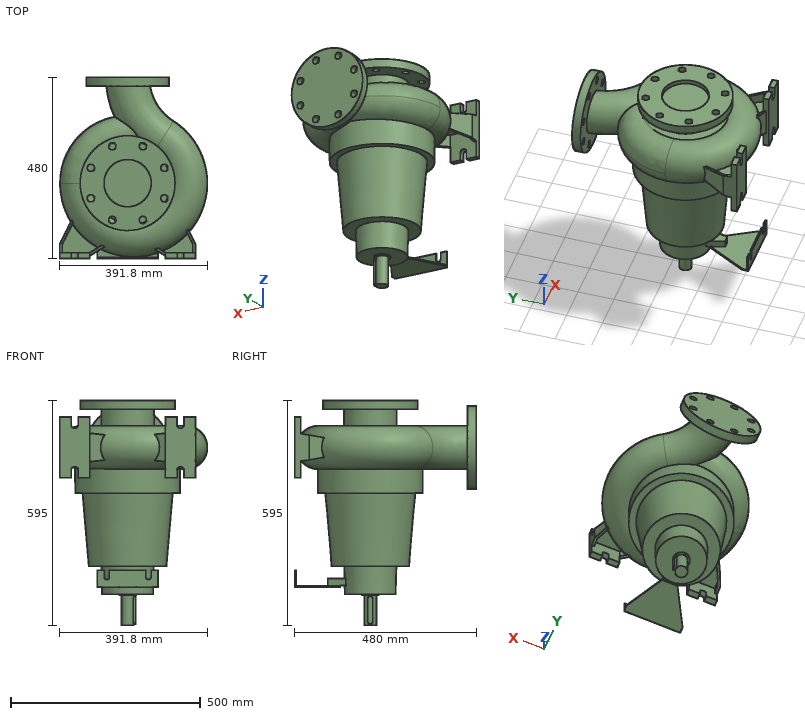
import cadquery as cq
import math


SUCTION_FACE_Z = 124.5
SHAFT_END_Z = SUCTION_FACE_Z - 595.0
DISCHARGE_FACE_Y = 280.0
MOUNTING_Y = -200.0

TUBE_RADIUS = 58.0
VOLUTE_RADIUS = 137.5
VOLUTE_OFFSET = 16.0
TONGUE_ANGLE = 110.0
TONGUE_END_RADIUS = 44.5
TONGUE_SECTIONS = 6

FLANGE_THICKNESS = 24.0
SUCTION_FLANGE_RADIUS = 125.5
SUCTION_BOLT_RADIUS = 105.5
DISCHARGE_FLANGE_RADIUS = 110.0
DISCHARGE_BOLT_RADIUS = 90.0
BOLT_COUNT = 8
BOLT_HOLE_RADIUS = 9.5
NECK_RADIUS = 70.0
BORE_RADIUS = 62.5
BORE_DEPTH = 12.0

CASING_RADIUS = 139.0
COVER_RADIUS = 112.5
COVER_TOP_Z = 50.5
CASING_BOTTOM_Z = -121.0
CONE_TOP_RADIUS = 119.5
CONE_BOTTOM_RADIUS = 103.0
CONE_BOTTOM_Z = -315.0
BEARING_TOP_RADIUS = 69.5
BEARING_BOTTOM_RADIUS = 68.0
BEARING_BOTTOM_Z = -388.5
COLLAR_RADIUS = 22.5
COLLAR_HEIGHT = 2.5
SHAFT_RADIUS = 16.5
KEY_TOP_Z = -393.0
KEY_BOTTOM_Z = -467.0
KEY_WIDTH = 13.0
KEY_REACH = 22.0

FOOT_CENTER_X = 140.0
FOOT_WIDTH = 80.5
FOOT_HEIGHT = 161.0
FOOT_THICKNESS = 16.0
FOOT_SLOT_WIDTH = 18.0
FOOT_SLOT_DEPTH = 30.0
RIB_THICKNESS = 7.0
OUTER_RIB_STRAIGHT = 22.0
OUTER_RIB_SLOPE = 2.0
OUTER_RIB_RUN = 38.5
INNER_RIB_SLOPE = 0.62
INNER_RIB_RUN = 53.5
RIB_FOOT_HALF_HEIGHT = 39.0
RIB_TAPER = 0.17

SUPPORT_WIDTH = 161.0
SUPPORT_TOP_Z = -324.0
SUPPORT_BOTTOM_Z = -369.5
SHEET_THICKNESS = 4.0
SUPPORT_SLOT_SPACING = 110.0
SUPPORT_SLOT_WIDTH = 14.0
SUPPORT_SLOT_DEPTH = 25.0
SUPPORT_STRAIGHT = 16.5
SUPPORT_NARROW_WIDTH = 44.5
SUPPORT_NARROW_Y = -79.0
BLOCK_HEIGHT = 19.0
BLOCK_FRONT_Y = -113.0
BLOCK_FRONT_WIDTH = 20.0
BLOCK_BACK_WIDTH = 56.5
BLOCK_BACK_Y = -47.5


def disc(radius, bottom_z, top_z):
    return cq.Workplane("XY").workplane(offset=bottom_z).circle(radius).extrude(top_z - bottom_z)


def cone(bottom_radius, bottom_z, top_radius, top_z):
    solid = cq.Solid.makeCone(bottom_radius, top_radius, top_z - bottom_z, cq.Vector(0, 0, bottom_z))
    return cq.Workplane(solid)


def box(x_range, y_range, z_range):
    size = [high - low for low, high in (x_range, y_range, z_range)]
    return cq.Workplane("XY").box(*size, centered=False).translate((x_range[0], y_range[0], z_range[0]))


def flange(radius, bolt_radius):
    """Flange with its outer face on Z = 0 and bolt holes straddling the centre lines."""
    return (
        cq.Workplane("XY").circle(radius).extrude(-FLANGE_THICKNESS)
        .faces(">Z").workplane(origin=(0, 0, 0))
        .polarArray(bolt_radius, 180.0 / BOLT_COUNT, 360, BOLT_COUNT)
        .hole(2 * BOLT_HOLE_RADIUS)
    )


def tube_arc(center, start, sweep_angle):
    """Round tube bent about a vertical axis through center, beginning at start."""
    radial = cq.Vector(start[0] - center[0], start[1] - center[1], 0)
    section = cq.Plane(origin=(start[0], start[1], 0), xDir=radial.toTuple(),
                       normal=(-radial.y, radial.x, 0))
    return (
        cq.Workplane(section).circle(TUBE_RADIUS)
        .revolve(sweep_angle, (-radial.Length, 0, 0), (-radial.Length, -1, 0))
    )


def make_tongue(start_radius):
    """Shrinking tube that starts on -X at start_radius and curls round to the discharge bend.

    Its outer edge keeps a constant distance from the shaft axis, and it shrinks slowly at first.
    """
    outer_radius = start_radius + TUBE_RADIUS
    sections = []
    for step in range(TONGUE_SECTIONS + 1):
        fraction = step / TONGUE_SECTIONS
        angle = math.radians(180 - TONGUE_ANGLE * fraction)
        tube_radius = TUBE_RADIUS + (TONGUE_END_RADIUS - TUBE_RADIUS) * fraction**2
        radial = cq.Vector(math.cos(angle), math.sin(angle), 0)
        tangent = cq.Vector(math.sin(angle), -math.cos(angle), 0)
        center = radial * (outer_radius - tube_radius)
        sections.append(cq.Wire.makeCircle(tube_radius, center, tangent))
    return cq.Workplane(cq.Solid.makeLoft(sections))


def make_volute():
    center = (VOLUTE_OFFSET, 0)
    bend_radius = (
        (VOLUTE_OFFSET**2 + DISCHARGE_FACE_Y**2 - VOLUTE_RADIUS**2)
        / (2 * (VOLUTE_RADIUS + VOLUTE_OFFSET))
    )
    junction = math.asin(DISCHARGE_FACE_Y / (VOLUTE_RADIUS + bend_radius))
    left_x = VOLUTE_OFFSET - VOLUTE_RADIUS

    main_arc = tube_arc(center, (left_x, 0), 180 + math.degrees(junction))
    bend = tube_arc((bend_radius, DISCHARGE_FACE_Y), (0, DISCHARGE_FACE_Y), math.degrees(junction))
    tongue = make_tongue(-left_x)
    discharge_flange = (
        flange(DISCHARGE_FLANGE_RADIUS, DISCHARGE_BOLT_RADIUS)
        .rotate((0, 0, 0), (1, 0, 0), -90)
        .translate((0, DISCHARGE_FACE_Y, 0))
    )
    return main_arc.union(bend).union(tongue).union(discharge_flange)


def make_axial_stack():
    suction_flange = (
        flange(SUCTION_FLANGE_RADIUS, SUCTION_BOLT_RADIUS).translate((0, 0, SUCTION_FACE_Z))
    )
    collar_bottom_z = BEARING_BOTTOM_Z - COLLAR_HEIGHT
    return (
        disc(CASING_RADIUS, CASING_BOTTOM_Z, 0)
        .union(disc(COVER_RADIUS, 0, COVER_TOP_Z))
        .union(disc(NECK_RADIUS, COVER_TOP_Z, SUCTION_FACE_Z - FLANGE_THICKNESS))
        .union(suction_flange)
        .union(cone(CONE_BOTTOM_RADIUS, CONE_BOTTOM_Z, CONE_TOP_RADIUS, CASING_BOTTOM_Z))
        .union(cone(BEARING_BOTTOM_RADIUS, BEARING_BOTTOM_Z, BEARING_TOP_RADIUS, CONE_BOTTOM_Z))
        .union(disc(COLLAR_RADIUS, collar_bottom_z, BEARING_BOTTOM_Z))
        .union(disc(SHAFT_RADIUS, SHAFT_END_Z, collar_bottom_z))
    )


def make_key():
    return (
        cq.Workplane("YZ").center(0, (KEY_TOP_Z + KEY_BOTTOM_Z) / 2)
        .slot2D(KEY_TOP_Z - KEY_BOTTOM_Z, KEY_WIDTH, 90).extrude(KEY_REACH)
    )


def foot_slot(side):
    """Round-ended slot cut in from the top (side = 1) or bottom (side = -1) edge."""
    return (
        cq.Workplane("XZ").center(FOOT_CENTER_X, side * FOOT_HEIGHT / 2)
        .slot2D(2 * FOOT_SLOT_DEPTH, FOOT_SLOT_WIDTH, 90).extrude(-MOUNTING_Y)
    )


def make_foot():
    """Foot on the +X side: slotted plate, two splayed ribs and a web between them."""
    inner_x = FOOT_CENTER_X - FOOT_WIDTH / 2
    outer_x = FOOT_CENTER_X + FOOT_WIDTH / 2
    back_y = MOUNTING_Y + FOOT_THICKNESS
    plate = box((inner_x, outer_x), (MOUNTING_Y, back_y), (-FOOT_HEIGHT / 2, FOOT_HEIGHT / 2))
    for side in (1, -1):
        plate = plate.cut(foot_slot(side))

    bend_y = back_y + OUTER_RIB_STRAIGHT
    outer_top = (outer_x - OUTER_RIB_RUN, bend_y + OUTER_RIB_RUN * OUTER_RIB_SLOPE)
    inner_rib_depth = RIB_THICKNESS * math.hypot(1, INNER_RIB_SLOPE)
    inner_top = (inner_x - INNER_RIB_RUN, back_y + INNER_RIB_RUN * INNER_RIB_SLOPE)
    outer_rib = (
        cq.Workplane("XY")
        .moveTo(outer_x, back_y)
        .lineTo(outer_x, bend_y)
        .lineTo(*outer_top)
        .lineTo(outer_top[0] - RIB_THICKNESS, outer_top[1])
        .lineTo(outer_x - RIB_THICKNESS, bend_y)
        .lineTo(outer_x - RIB_THICKNESS, back_y)
        .close().extrude(FOOT_HEIGHT / 2, both=True)
    )
    inner_rib = (
        cq.Workplane("XY")
        .moveTo(inner_x, back_y)
        .lineTo(*inner_top)
        .lineTo(inner_top[0], inner_top[1] - inner_rib_depth)
        .lineTo(inner_x, back_y - inner_rib_depth)
        .close().extrude(FOOT_HEIGHT / 2, both=True)
    )
    taper_length = outer_top[1] - MOUNTING_Y
    far_half_height = RIB_FOOT_HALF_HEIGHT - RIB_TAPER * taper_length
    side_profile = (
        cq.Workplane("YZ")
        .moveTo(MOUNTING_Y, RIB_FOOT_HALF_HEIGHT)
        .lineTo(outer_top[1], far_half_height)
        .lineTo(outer_top[1], -far_half_height)
        .lineTo(MOUNTING_Y, -RIB_FOOT_HALF_HEIGHT)
        .close().extrude(outer_x)
    )
    web = (
        cq.Workplane("XY")
        .polyline([(inner_x, back_y), (outer_x, back_y), (outer_x, bend_y), outer_top, inner_top])
        .close().extrude(RIB_THICKNESS / 2, both=True)
    )
    return plate.union(outer_rib.union(inner_rib).intersect(side_profile)).union(web)


def make_support():
    half_width = SUPPORT_WIDTH / 2
    upright_back_y = MOUNTING_Y + SHEET_THICKNESS
    upright = box((-half_width, half_width), (MOUNTING_Y, upright_back_y),
                  (SUPPORT_BOTTOM_Z, SUPPORT_TOP_Z))
    slots = (
        cq.Workplane("XZ").center(0, SUPPORT_TOP_Z)
        .pushPoints([(-SUPPORT_SLOT_SPACING / 2, 0), (SUPPORT_SLOT_SPACING / 2, 0)])
        .slot2D(2 * SUPPORT_SLOT_DEPTH, SUPPORT_SLOT_WIDTH, 90).extrude(-MOUNTING_Y)
    )
    taper_start_y = MOUNTING_Y + SUPPORT_STRAIGHT
    sheet = (
        cq.Workplane("XY").workplane(offset=SUPPORT_BOTTOM_Z)
        .moveTo(-half_width, MOUNTING_Y)
        .lineTo(half_width, MOUNTING_Y)
        .lineTo(half_width, taper_start_y)
        .lineTo(SUPPORT_NARROW_WIDTH / 2, SUPPORT_NARROW_Y)
        .lineTo(-SUPPORT_NARROW_WIDTH / 2, SUPPORT_NARROW_Y)
        .lineTo(-half_width, taper_start_y)
        .close().extrude(SHEET_THICKNESS)
    )
    block = (
        cq.Workplane("XY").workplane(offset=SUPPORT_BOTTOM_Z + SHEET_THICKNESS)
        .moveTo(-BLOCK_FRONT_WIDTH / 2, BLOCK_FRONT_Y)
        .lineTo(BLOCK_FRONT_WIDTH / 2, BLOCK_FRONT_Y)
        .lineTo(BLOCK_BACK_WIDTH / 2, BLOCK_BACK_Y)
        .lineTo(-BLOCK_BACK_WIDTH / 2, BLOCK_BACK_Y)
        .close().extrude(BLOCK_HEIGHT)
    )
    return upright.cut(slots).union(sheet).union(block)


foot = make_foot()
bore = disc(BORE_RADIUS, SUCTION_FACE_Z - BORE_DEPTH, SUCTION_FACE_Z)
result = (
    make_axial_stack()
    .union(make_volute())
    .union(foot)
    .union(foot.mirror("YZ"))
    .union(make_support())
    .union(make_key())
    .cut(bore)
)